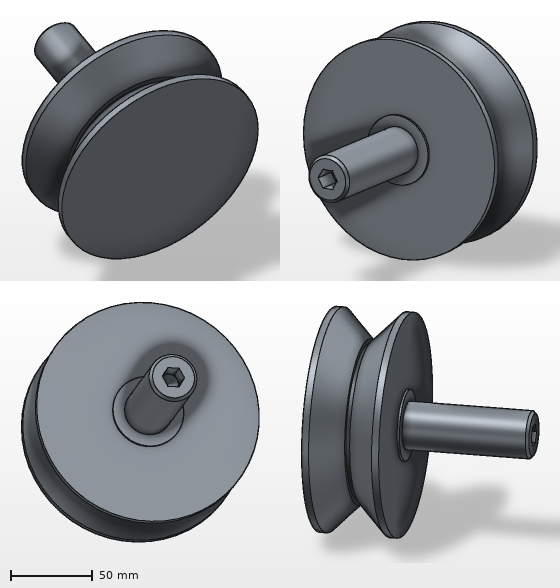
import cadquery as cq
import math


wheel_dia = 140.0
wheel_width = 49.0
groove_mouth_width = 40.0
groove_flank_angle = 45.0
relief_width = 3.2
relief_dia = 97.0

collar_dia = 44.5
collar_thickness = 1.5
shaft_dia = 30.0
shaft_length = 80.0
shaft_chamfer = 1.84

hex_across_flats = 12.0
hex_depth = 15.0
drill_point_angle = 120.0

collar_face_x = -collar_thickness
shaft_end_x = collar_face_x - shaft_length
socket_bottom_x = shaft_end_x + hex_depth


def make_wheel():
    """Disc with a V groove and a narrow relief slot at the groove's bottom."""
    rim_radius = wheel_dia / 2
    rim_width = (wheel_width - groove_mouth_width) / 2
    flank_width = (groove_mouth_width - relief_width) / 2
    flank_drop = flank_width * math.tan(math.radians(groove_flank_angle))
    flank_foot_radius = rim_radius - flank_drop
    relief_radius = relief_dia / 2
    relief_start_x = rim_width + flank_width
    relief_end_x = relief_start_x + relief_width
    profile = [
        (0, 0),
        (0, rim_radius),
        (rim_width, rim_radius),
        (relief_start_x, flank_foot_radius),
        (relief_start_x, relief_radius),
        (relief_end_x, relief_radius),
        (relief_end_x, flank_foot_radius),
        (wheel_width - rim_width, rim_radius),
        (wheel_width, rim_radius),
        (wheel_width, 0),
    ]
    return cq.Workplane("XY").polyline(profile).close().revolve(360, (0, 0, 0), (1, 0, 0))


def make_collar():
    """Thin spacer collar against the roller's face."""
    return cq.Workplane("YZ", origin=(collar_face_x, 0, 0)).circle(collar_dia / 2).extrude(collar_thickness)


def make_shaft():
    """Round shaft with a chamfered free end."""
    shaft = cq.Workplane("YZ", origin=(shaft_end_x, 0, 0)).circle(shaft_dia / 2).extrude(shaft_length)
    return shaft.faces("<X").chamfer(shaft_chamfer)


def make_socket():
    """Cutter for the hexagon socket, corners toward +Y and -Y, ending in a drill point."""
    hex_across_corners = hex_across_flats / math.cos(math.pi / 6)
    hexagon = (
        cq.Workplane("YZ", origin=(shaft_end_x, 0, 0))
        .polygon(6, hex_across_corners)
        .extrude(hex_depth)
    )
    drill_radius = hex_across_flats / 2
    point_length = drill_radius / math.tan(math.radians(drill_point_angle / 2))
    drill_point = cq.Workplane(
        cq.Solid.makeCone(
            drill_radius, 0, point_length, cq.Vector(socket_bottom_x, 0, 0), cq.Vector(1, 0, 0)
        )
    )
    return hexagon.union(drill_point)


result = make_wheel().union(make_collar()).union(make_shaft()).cut(make_socket())